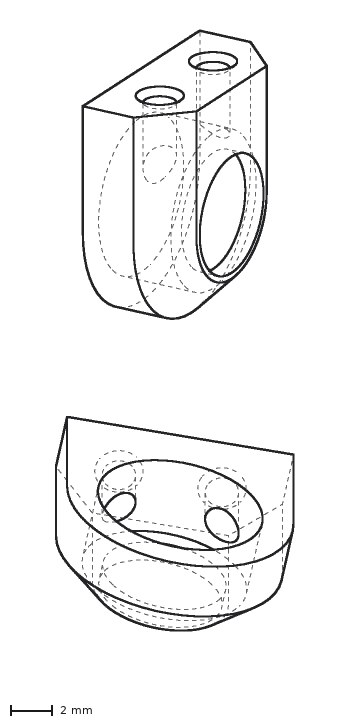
import cadquery as cq

thickness = 5.0
width = 11.0
height = 12.0
outer_radius = width / 2
edge_chamfer = 2.2

seat_diameter = 8.0
seat_depth = 4.0
through_diameter = 6.0

screw_spacing = 5.0
screw_diameter = 1.6
countersink_diameter = 2.3
top_z = height - outer_radius


def make_body():
    """D-shaped plate, chamfered along the sides and round end of its +X face."""
    plate = (
        cq.Workplane("YZ")
        .moveTo(-outer_radius, top_z)
        .lineTo(-outer_radius, 0)
        .threePointArc((0, -outer_radius), (outer_radius, 0))
        .lineTo(outer_radius, top_z)
        .close()
        .extrude(thickness)
    )
    return plate.faces(">X").edges("not >Z").chamfer(edge_chamfer)


def x_cylinder(diameter, length):
    """Cylinder along X from the -X face, on the bore axis."""
    return cq.Workplane("YZ").circle(diameter / 2).extrude(length)


def make_screw_hole(y):
    """Hole opening into the bore, with a 45-degree countersink at the top."""
    depth = (countersink_diameter - screw_diameter) / 2
    top = cq.Workplane("XY", origin=(thickness / 2, y, top_z))
    hole = top.circle(screw_diameter / 2).extrude(-top_z)
    cone = cq.Workplane(
        cq.Solid.makeCone(
            countersink_diameter / 2, screw_diameter / 2, depth,
            cq.Vector(thickness / 2, y, top_z), cq.Vector(0, 0, -1),
        )
    )
    return hole.union(cone)


result = make_body().cut(x_cylinder(seat_diameter, seat_depth))
result = result.cut(x_cylinder(through_diameter, thickness))
for side in (-1, 1):
    result = result.cut(make_screw_hole(side * screw_spacing / 2))